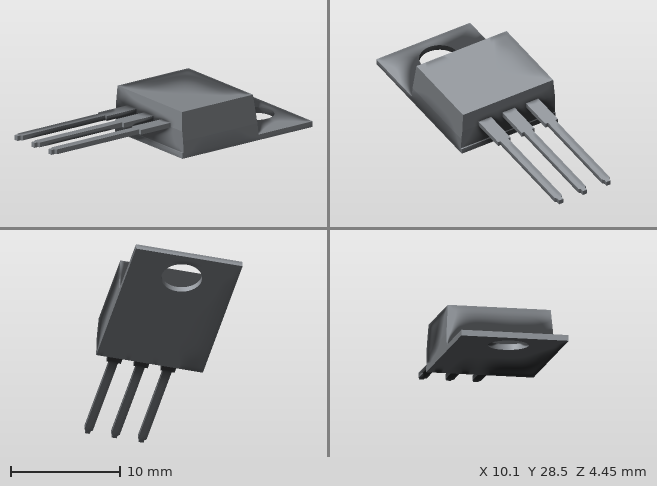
import cadquery as cq


width = 10.05
tab_length = 15.05
tab_thickness = 0.55
hole_diameter = 3.75
hole_to_back_edge = 2.9

height = 4.45
body_back = 8.83
back_top_inset = 0.5
side_taper_start = 1.65
side_top_inset = 0.2
front_ridge_height = 2.62
front_ridge_inset = 0.03
front_top_inset = 0.1
front_bottom_inset = 0.15

total_length = 28.47
lead_length = total_length - tab_length
lead_pitch = 2.53
lead_count = 3
lead_bottom = 2.53
lead_thickness = 0.45
shoulder_width = 1.35
shoulder_length = 3.4
pin_width = 0.8
tip_width = 0.45
tip_length = 0.35
tip_taper_length = 0.17
lead_embedment = 0.85


def make_tab():
    """Flat mounting tab with its screw hole."""
    plate = cq.Workplane("XY").box(width, tab_length, tab_thickness, centered=(True, False, False))
    hole = (
        cq.Workplane("XY")
        .center(0, tab_length - hole_to_back_edge)
        .circle(hole_diameter / 2)
        .extrude(tab_thickness)
    )
    return plate.cut(hole)


def make_body():
    """Body common to a lengthwise profile and a crosswise profile."""
    lengthwise = (
        cq.Workplane("YZ")
        .moveTo(front_bottom_inset, tab_thickness)
        .lineTo(body_back, tab_thickness)
        .lineTo(body_back - back_top_inset, height)
        .lineTo(front_top_inset, height)
        .lineTo(front_ridge_inset, front_ridge_height)
        .close()
        .extrude(width / 2, both=True)
    )
    half_width = width / 2
    half_top = half_width - side_top_inset
    crosswise = (
        cq.Workplane("XZ")
        .moveTo(-half_width, tab_thickness)
        .lineTo(half_width, tab_thickness)
        .lineTo(half_width, side_taper_start)
        .lineTo(half_top, height)
        .lineTo(-half_top, height)
        .lineTo(-half_width, side_taper_start)
        .close()
        .extrude(-body_back)
    )
    return lengthwise.intersect(crosswise)


def make_lead(x):
    """Flat lead: wide shoulder, narrow pin and stepped-down tip."""
    tip_start = -lead_length + tip_length
    right_edge = [
        (shoulder_width / 2, lead_embedment),
        (shoulder_width / 2, -shoulder_length),
        (pin_width / 2, -shoulder_length),
        (pin_width / 2, tip_start + tip_taper_length),
        (tip_width / 2, tip_start),
        (tip_width / 2, -lead_length),
    ]
    left_edge = [(-px, py) for px, py in reversed(right_edge)]
    return (
        cq.Workplane("XY")
        .workplane(offset=lead_bottom)
        .polyline(right_edge + left_edge)
        .close()
        .extrude(lead_thickness)
        .translate((x, 0, 0))
    )


result = make_tab().union(make_body())
for index in range(lead_count):
    lead_x = (index - (lead_count - 1) / 2) * lead_pitch
    result = result.union(make_lead(lead_x))